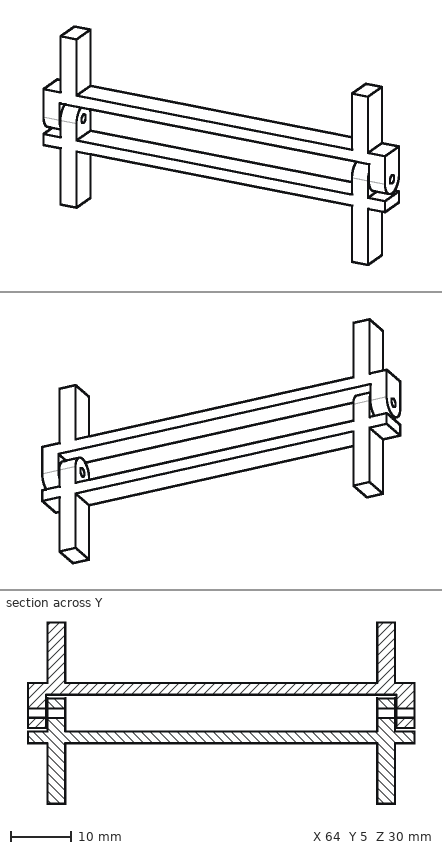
import cadquery as cq

length = 64.0
depth = 5.0
height = 30.0
bar_gap = 6.0
bar_thickness = 2.0
lug_width = 3.0
hinge_clearance = 0.2
hinge_hole_diameter = 1.5

lug_radius = depth / 2
bar_inner_z = bar_gap / 2
bar_outer_z = bar_inner_z + bar_thickness
post_length = height / 2 - bar_outer_z
outer_lug_x = (length - lug_width) / 2
post_x = outer_lug_x - lug_width - hinge_clearance


def make_block(width, block_height, x, bottom_z):
    """Box of full depth, centred in Y and standing on bottom_z."""
    return (
        cq.Workplane("XY")
        .box(width, depth, block_height, centered=(True, True, False))
        .translate((x, 0, bottom_z))
    )


def make_lug(x):
    """Lug below a bar, with a round end about the hinge axis and a hinge hole."""
    return (
        cq.Workplane("YZ", origin=(x - lug_width / 2, 0, 0))
        .moveTo(-lug_radius, bar_inner_z)
        .lineTo(-lug_radius, 0)
        .threePointArc((0, -lug_radius), (lug_radius, 0))
        .lineTo(lug_radius, bar_inner_z)
        .close()
        .extrude(lug_width)
        .faces("<X")
        .workplane(origin=(0, 0, 0))
        .circle(hinge_hole_diameter / 2)
        .cutThruAll()
    )


def make_frame(lug_offset):
    """Bar with two posts on top and two lugs underneath at +/- lug_offset."""
    frame = make_block(length, bar_thickness, 0, bar_inner_z)
    for side in (-1, 1):
        post = make_block(lug_width, post_length, side * post_x, bar_outer_z)
        frame = frame.union(post).union(make_lug(side * lug_offset))
    return frame


upper_frame = make_frame(outer_lug_x)

lower_frame = make_frame(post_x).rotate((0, 0, 0), (1, 0, 0), 180)

result = cq.Compound.makeCompound([upper_frame.val(), lower_frame.val()])